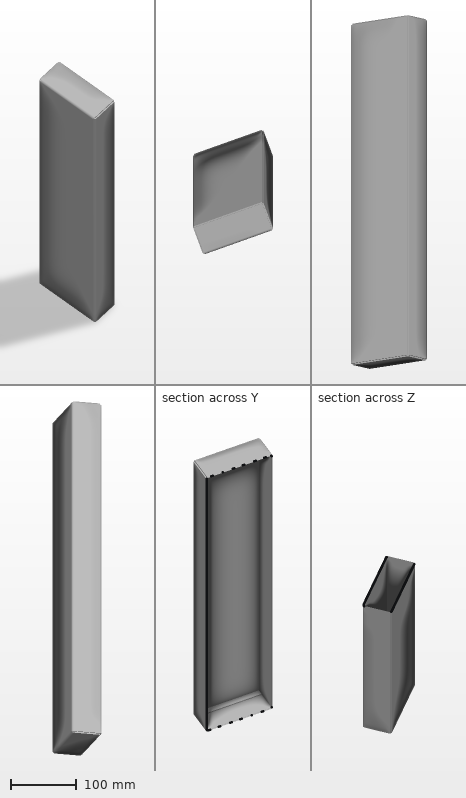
import cadquery as cq

width = 114.0
depth = 47.0
height = 529.0

wall = 2.0
bend_outer_radius = 2 * wall
inside_radius = bend_outer_radius - wall
cover_flange_depth = 11.0
bend_relief_width = 3.3

inner_width = width - 2 * wall
inner_height = height - 2 * wall
tray_depth = depth - wall
front_y = -depth / 2
back_y = depth / 2


def block(size_x, size_z, y_start, y_end):
    """Block centred in X and Z that runs from y_start to y_end."""
    centre_y = (y_start + y_end) / 2
    return cq.Workplane("XY").box(size_x, y_end - y_start, size_z).translate((0, centre_y, 0))


def corner_cut(body, cut_width, cut_height, y_end):
    """Cut the four corners of the front outline, from the front face back to y_end."""
    corner = block(2 * cut_width, 2 * cut_height, front_y, y_end)
    for side in (-1, 1):
        for end in (-1, 1):
            body = body.cut(corner.translate((side * width / 2, 0, end * height / 2)))
    return body


def tray_outside():
    """Outer form of the tray: bent front edges, notched corners and bend reliefs."""
    tray_back = front_y + tray_depth
    body = block(width, height, front_y, tray_back)
    body = body.faces("<Y").edges().fillet(bend_outer_radius)
    body = corner_cut(body, wall, wall, tray_back)
    return corner_cut(body, bend_relief_width, wall, front_y + wall)


def cover_plate():
    """Back plate that stands one wall thickness behind the tray."""
    return block(inner_width, inner_height, back_y - wall, back_y)


def cavity():
    """Hollow inside, rounded all round, narrowed at the back by the cover flanges."""
    hollow = block(inner_width, inner_height, front_y + wall, back_y - wall)
    hollow = hollow.edges().fillet(inside_radius)
    flange = block(inner_width, wall, back_y - cover_flange_depth, back_y)
    flange_z = (inner_height - wall) / 2
    for end in (-1, 1):
        hollow = hollow.cut(flange.translate((0, 0, end * flange_z)))
    return hollow


result = tray_outside().union(cover_plate()).cut(cavity()).solids()